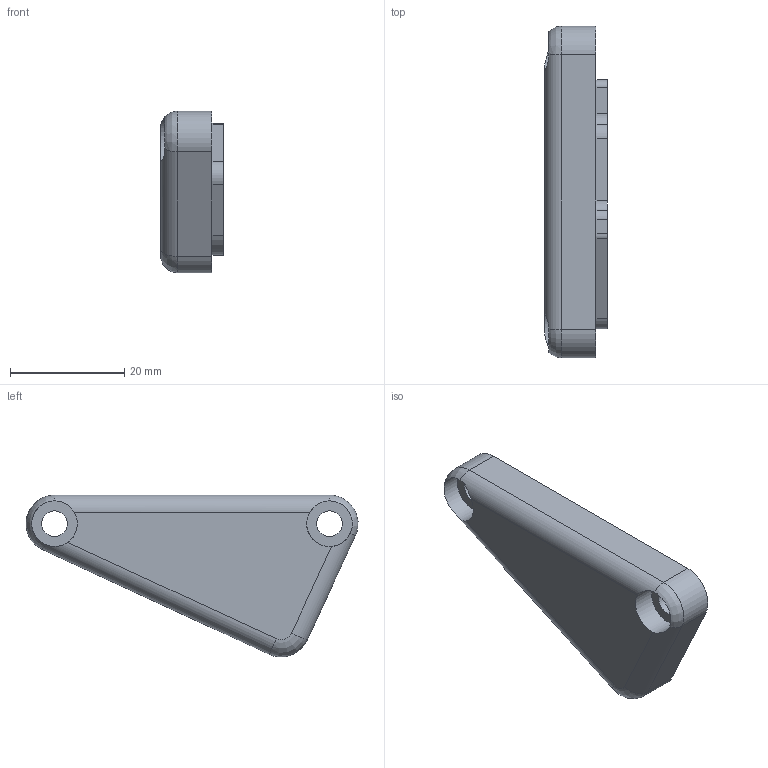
import cadquery as cq
import math

hole_spacing = 48.16
corner_drop = 18.34
corner_radius = 5.0
body_thickness = 9.0
front_fillet = 3.0

screw_diameter = 4.5
counterbore_diameter = 8.0
counterbore_depth = 4.0

pad_height = 2.0
pad_inset = 2.1
pad_top_height = 2.85
screw_clearance = 4.25
pad_end_clearance = 4.4
tip_radius = 6.0
shoulder_radius = 3.0
crest_radius = 2.0
end_radius = 1.4

pad_steps = [(19.25, 1.6, 1.8), (33.4, 2.45, 1.95)]
step_tilt = math.radians(60)

leg_angle = math.asin(2 * corner_drop / hole_spacing) / 2
leg_sin = math.sin(leg_angle)
leg_cos = math.cos(leg_angle)
leg_slope = math.tan(leg_angle)
first_hole = (0.0, 0.0)
second_hole = (hole_spacing, 0.0)
third_corner = (corner_drop * leg_slope, -corner_drop)


def in_leg_frame(origin, along_long_leg, along_short_leg):
    """Point reached from origin by moving up the long leg, then up the short leg."""
    y = origin[0] + along_long_leg * leg_cos - along_short_leg * leg_sin
    z = origin[1] + along_long_leg * leg_sin + along_short_leg * leg_cos
    return (y, z)


def make_body():
    outline = cq.Workplane("YZ").polyline([first_hole, second_hole, third_corner]).close()
    body = outline.offset2D(corner_radius, "arc").extrude(body_thickness)
    return body.faces("<X").edges().fillet(front_fillet)


def make_pad():
    side_offset = corner_radius - pad_inset

    tip = in_leg_frame(third_corner, -side_offset, -side_offset)
    shoulder = in_leg_frame(first_hole, -side_offset, -screw_clearance)
    sloping_side_z = -screw_clearance / leg_cos
    crest = ((pad_top_height - sloping_side_z) / leg_slope, pad_top_height)
    end_y = hole_spacing - pad_end_clearance
    end_bottom = (end_y, tip[1] + (end_y - tip[0]) * leg_slope)

    outline = cq.Workplane("YZ", origin=(body_thickness, 0, 0))
    outline = outline.moveTo(*tip).lineTo(*shoulder).lineTo(*crest)
    level = pad_top_height
    drop_per_width = math.tan(step_tilt / 2)
    for start_y, convex_width, concave_width in pad_steps:
        outline = outline.lineTo(start_y, level)
        for width in (convex_width, concave_width):
            outline = outline.tangentArcPoint((width, -width * drop_per_width))
            level -= width * drop_per_width
    end_top = (end_y, level)
    pad = outline.lineTo(*end_top).lineTo(*end_bottom).close().extrude(pad_height)

    rounded_corners = [
        (tip, tip_radius),
        (shoulder, shoulder_radius),
        (crest, crest_radius),
        (end_top, end_radius),
        (end_bottom, end_radius),
    ]
    for (y, z), radius in rounded_corners:
        middle = (body_thickness + pad_height / 2, y, z)
        pad = pad.edges(cq.selectors.NearestToPointSelector(middle)).fillet(radius)
    return pad


def cut_screw_holes(part):
    return (
        part.faces("<X")
        .workplane(origin=(0, 0, 0))
        .pushPoints([(-y, z) for y, z in (first_hole, second_hole)])
        .cboreHole(screw_diameter, counterbore_diameter, counterbore_depth)
    )


result = cut_screw_holes(make_body()).union(make_pad())